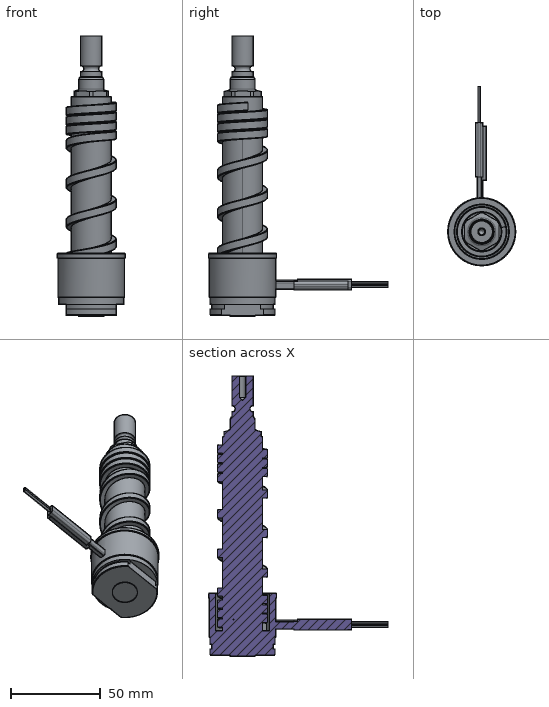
import cadquery as cq
import math


rim_radius = 19.0
rim_top = 35.2
rim_bottom = 32.6
rim_chamfer = 0.4
body_radius = 18.6
body_bottom = 10.8
skirt_radius = 18.2
skirt_bottom = 6.6
groove_radius = 17.2
groove_bottom = 4.2
foot_bottom = 0.5
foot_chamfer = 0.4
base_pad_radius = 7.0
flat_half_width = 14.0
recess_radius = 15.0
recess_chamfer = 0.4

shaft_radius = 11.2
shaft_top = 122.5
shaft_chamfer = 0.4
hex_across_flats = 19.0
hex_corner_radius = 10.45
hex_top = 125.9
hex_cone_angle = 15.0
boss_radius = 7.0
boss_fillet = 0.8
boss_top = 132.0
collar_radius = 6.0
collar_bottom = 133.5
boss_cone_radius = 6.5
boss_cone_top = 133.0
neck_radius = 4.2
neck_edge_radius = 5.5
neck_bottom = 136.2
neck_top = 139.5
rod_top = 156.2

hole_radius = 1.7
hole_depth = 12.0
hole_mouth_radius = 2.15

spring_radius = 14.0
spring_inner_radius = 11.0
wire_height = 4.8
wire_chamfer = 0.4
open_pitch = 22.0
closed_pitch = 5.25
open_start_angle = -42.0
open_start_height = 35.9
open_turn_angle = 2 * 360.0 + 205.0
blend_angle = 141.0
closed_turn_angle = 1148.0
spring_step_angle = 12.0
spring_seat_depth = 0.5
shaft_seat_depth = 2.0

cable_width = 2.4
cable_fillet = 0.6
cable_root_y = 17.0
near_cable_x = -1.4
near_cable_z = 17.7
near_cable_height = 5.1
far_cable_x = -0.5
far_cable_z = 17.1
far_cable_height = 4.3
sleeve_width = 4.2
sleeve_length = 30.2
near_sleeve_height = 6.1
near_sleeve_fillet = 1.3
near_sleeve_y = 30.5
far_sleeve_x = 0.5
far_sleeve_height = 5.0
far_sleeve_fillet = 2.0
far_sleeve_y = 28.6
lead_radius = 0.7
lead_spacing = 1.95
lead_end_y = 81.0


def turned(outline):
    """Revolve a closed radius-height outline about Z."""
    return outline.revolve(360, (0, 0), (0, 1))


def turned_points(points):
    return turned(cq.Workplane("XZ").polyline(points).close())


def blended_rise(angle):
    """Rise over the first `angle` degrees of the blend, as the pitch falls evenly."""
    pitch_fall = (open_pitch - closed_pitch) * angle / blend_angle
    return (open_pitch - pitch_fall / 2) * angle / 360


def half_spring_rise(angle):
    """Rise of the wire from the middle of the spring, at `angle` degrees from the middle."""
    open_half_angle = open_turn_angle / 2
    open_rise = open_pitch * min(angle, open_half_angle) / 360
    blend_part = min(max(angle - open_half_angle, 0), blend_angle)
    closed_part = max(angle - open_half_angle - blend_angle, 0)
    closed_rise = closed_pitch * closed_part / 360
    return open_rise + blended_rise(blend_part) + closed_rise


spring_half_angle = open_turn_angle / 2 + blend_angle + closed_turn_angle
spring_mid_angle = open_start_angle + open_turn_angle / 2
spring_mid_height = open_start_height + half_spring_rise(open_turn_angle / 2)
spring_half_rise = half_spring_rise(spring_half_angle)
recess_floor = spring_mid_height - spring_half_rise + spring_seat_depth


def make_housing():
    rim_step = rim_radius - body_radius
    skirt_step = body_radius - skirt_radius
    profile = [
        (0, 0),
        (base_pad_radius, 0),
        (base_pad_radius, foot_bottom),
        (skirt_radius - foot_chamfer, foot_bottom),
        (skirt_radius, foot_bottom + foot_chamfer),
        (skirt_radius, groove_bottom),
        (groove_radius, groove_bottom),
        (groove_radius, skirt_bottom),
        (skirt_radius, skirt_bottom),
        (skirt_radius, body_bottom - skirt_step),
        (body_radius, body_bottom),
        (body_radius, rim_bottom - rim_step),
        (rim_radius, rim_bottom),
        (rim_radius, rim_top - rim_chamfer),
        (rim_radius - rim_chamfer, rim_top),
        (recess_radius + recess_chamfer, rim_top),
        (recess_radius, rim_top - recess_chamfer),
        (recess_radius, recess_floor),
        (0, recess_floor),
    ]
    housing = turned_points(profile)
    for side in (-1, 1):
        beyond_flat = (
            cq.Workplane("XY")
            .center(side * (flat_half_width + skirt_radius / 2), 0)
            .rect(skirt_radius, 2 * skirt_radius)
            .extrude(skirt_bottom)
        )
        housing = housing.cut(beyond_flat)
    return housing


def make_shaft():
    shaft_foot = recess_floor - shaft_seat_depth
    profile = [
        (0, shaft_foot),
        (shaft_radius, shaft_foot),
        (shaft_radius, shaft_top - shaft_chamfer),
        (shaft_radius - shaft_chamfer, shaft_top),
        (0, shaft_top),
    ]
    return turned_points(profile).union(make_hex()).union(make_rod())


def make_hex():
    across_corners = hex_across_flats / math.cos(math.pi / 6)
    height = hex_top - shaft_top
    prism = (
        cq.Workplane("XY")
        .workplane(offset=shaft_top)
        .polygon(6, across_corners)
        .extrude(height)
        .rotate((0, 0, 0), (0, 0, 1), 30)
    )
    cone_foot = boss_radius + boss_fillet
    cone_drop = (hex_corner_radius - cone_foot) * math.tan(math.radians(hex_cone_angle))
    envelope = [
        (0, shaft_top),
        (hex_corner_radius, shaft_top),
        (hex_corner_radius, hex_top - cone_drop),
        (cone_foot, hex_top),
        (0, hex_top),
    ]
    return prism.intersect(turned_points(envelope))


def make_rod():
    fillet_middle = boss_fillet * (1 - math.sqrt(0.5))
    outline = (
        cq.Workplane("XZ")
        .moveTo(0, shaft_top)
        .lineTo(boss_radius + boss_fillet, shaft_top)
        .lineTo(boss_radius + boss_fillet, hex_top)
        .threePointArc(
            (boss_radius + fillet_middle, hex_top + fillet_middle),
            (boss_radius, hex_top + boss_fillet),
        )
        .lineTo(boss_radius, boss_top)
        .lineTo(boss_cone_radius, boss_cone_top)
        .lineTo(collar_radius, collar_bottom)
        .lineTo(collar_radius, neck_bottom)
        .lineTo(neck_edge_radius, neck_bottom)
        .threePointArc((neck_radius, (neck_bottom + neck_top) / 2), (neck_edge_radius, neck_top))
        .lineTo(collar_radius, neck_top)
        .lineTo(collar_radius, rod_top)
        .lineTo(0, rod_top)
        .close()
    )
    return turned(outline).cut(make_rod_hole())


def make_rod_hole():
    mouth_depth = hole_mouth_radius - hole_radius
    hole_bottom = rod_top - hole_depth
    profile = [
        (0, rod_top),
        (hole_mouth_radius, rod_top),
        (hole_radius, rod_top - mouth_depth),
        (hole_radius, hole_bottom),
        (0, hole_bottom - hole_radius),
    ]
    return turned_points(profile)


def spring_curve(radius, offset):
    """Curve traced by the wire-section corner at `radius`, `offset` above the wire's underside."""
    steps = math.ceil(2 * spring_half_angle / spring_step_angle)
    points = []
    for step in range(steps + 1):
        from_middle = spring_half_angle * (2 * step / steps - 1)
        rise = math.copysign(half_spring_rise(abs(from_middle)), from_middle)
        angle = math.radians(spring_mid_angle + from_middle)
        points.append(
            cq.Vector(
                radius * math.cos(angle),
                radius * math.sin(angle),
                spring_mid_height + rise + offset,
            )
        )
    return cq.Edge.makeSpline(points)


def make_spring():
    corners = [
        (spring_inner_radius, 0),
        (spring_radius - wire_chamfer, 0),
        (spring_radius, wire_chamfer),
        (spring_radius, wire_height - wire_chamfer),
        (spring_radius - wire_chamfer, wire_height),
        (spring_inner_radius, wire_height),
    ]
    curves = [spring_curve(radius, offset) for radius, offset in corners]
    faces = []
    for index, curve in enumerate(curves):
        faces.append(cq.Face.makeRuledSurface(curves[index - 1], curve))
    for end in (0, 1):
        section = [curve.positionAt(end) for curve in curves]
        faces.append(cq.Face.makeFromWires(cq.Wire.makePolygon(section, close=True)))
    solid = cq.Solid.makeSolid(cq.Shell.makeShell(faces)).fix()
    return cq.Workplane(solid)


def bar(x, z, width, height, fillet, start_y, end_y):
    """Bar along Y with rounded long edges, centred on (x, z)."""
    length = end_y - start_y
    middle = (x, (start_y + end_y) / 2, z)
    return cq.Workplane("XY").box(width, length, height).edges("|Y").fillet(fillet).translate(middle)


def make_sleeved_cable(cable_x, sleeve_x, z, cable_height, sleeve_height, sleeve_fillet, sleeve_y):
    """Flat cable leaving the housing and ending at the far end of its sleeve."""
    sleeve_end = sleeve_y + sleeve_length
    cable = bar(cable_x, z, cable_width, cable_height, cable_fillet, cable_root_y, sleeve_end)
    sleeve = bar(sleeve_x, z, sleeve_width, sleeve_height, sleeve_fillet, sleeve_y, sleeve_end)
    return cable.union(sleeve)


def make_cables():
    near_cable = make_sleeved_cable(
        cable_x=near_cable_x,
        sleeve_x=near_cable_x,
        z=near_cable_z,
        cable_height=near_cable_height,
        sleeve_height=near_sleeve_height,
        sleeve_fillet=near_sleeve_fillet,
        sleeve_y=near_sleeve_y,
    )
    far_cable = make_sleeved_cable(
        cable_x=far_cable_x,
        sleeve_x=far_sleeve_x,
        z=far_cable_z,
        cable_height=far_cable_height,
        sleeve_height=far_sleeve_height,
        sleeve_fillet=far_sleeve_fillet,
        sleeve_y=far_sleeve_y,
    )
    cables = near_cable.union(far_cable)
    for side in (-1, 1):
        lead = (
            cq.Workplane("XZ", origin=(near_cable_x, lead_end_y, near_cable_z + side * lead_spacing / 2))
            .circle(lead_radius)
            .extrude(lead_end_y - near_sleeve_y)
        )
        cables = cables.union(lead)
    return cables


result = make_housing().union(make_shaft()).union(make_spring()).union(make_cables())